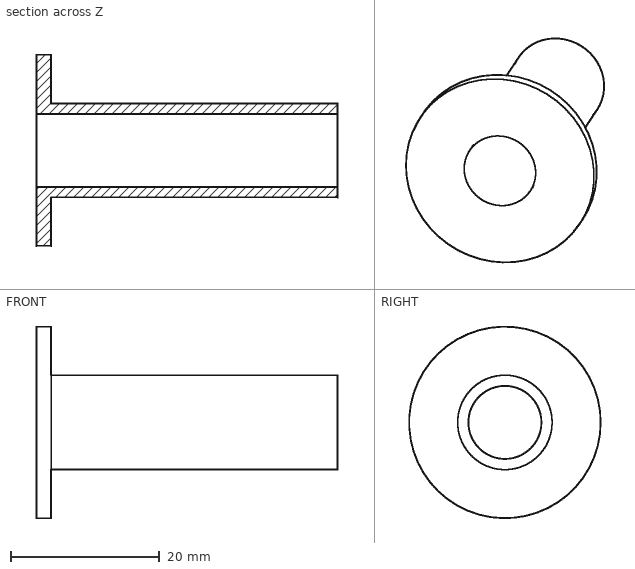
import cadquery as cq

total_length = 40.5
flange_diameter = 25.8
flange_thickness = 2.0
sleeve_diameter = 12.7
bore_diameter = 9.8


def disc(diameter, length):
    """Solid cylinder along +X starting at X = 0."""
    return cq.Workplane("YZ").circle(diameter / 2).extrude(length)


flange = disc(flange_diameter, flange_thickness)
sleeve = disc(sleeve_diameter, total_length)
bore = disc(bore_diameter, total_length)

result = flange.union(sleeve).cut(bore)